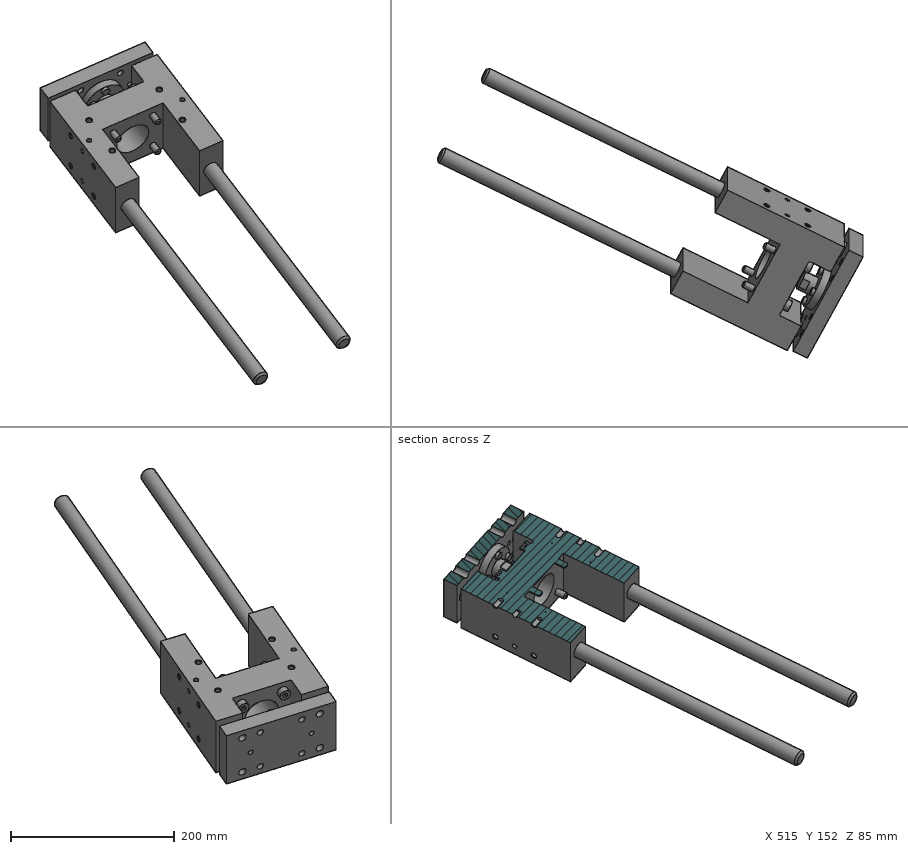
import cadquery as cq
import math

total_length = 515.0
housing_width = 152.0
housing_height = 85.0

plate_thickness = 19.5
plate_width = 148.5
plate_height = 80.0

housing_front = 27.0
housing_back = 188.0
web_front = 56.5
web_back = 98.5
front_gap_width = 79.5
rear_gap_width = 85.5
front_gap_fillet = 2.0
web_bore_dia = 45.5

rod_dia = 20.0
rod_spacing = 117.0
rod_chamfer = 2.5

screw_spacing = 56.0
mount_hole_dia = 8.0
mount_hole_depth = 13.0
bore_dia = 6.5
drill_tip_slope = math.radians(31)
dowel_dia = 6.0
dowel_depth = 10.0

mount_front_x = 77.0
mount_back_x = 134.0
dowel_x = (mount_front_x + mount_back_x) / 2
top_mount_spacing = 99.5
top_dowel_spacing = 132.0

web_screw_dia = 9.0
web_head_dia = 14.5
web_head_length = 8.0
web_socket_width = 5.5
web_socket_depth = 4.0
web_screw_end = 113.0
web_screw_chamfer = 1.5

plate_outer_dia = 10.0
plate_inner_dia = 8.0
plate_outer_spacing = 104.5
plate_dowel_spacing = 82.5

flange_dia = 55.0
flange_thickness = 10.0
stud_dia = 24.0
stud_end = 47.5
flat_start = 38.0
flat_width = 21.0
flange_screw_radius = 22.0
flange_head_dia = 10.0
flange_head_length = 4.0


def box_between(x_start, x_end, width, height):
    """Block centred on Y and Z, spanning the given X range."""
    return cq.Workplane("XY").box(x_end - x_start, width, height).translate(((x_start + x_end) / 2, 0, 0))


def cylinders_x(x_start, x_end, dia, centers):
    """Cylinders along X at the given (y, z) centres."""
    plane = cq.Workplane("YZ", origin=(x_start, 0, 0))
    return plane.pushPoints(centers).circle(dia / 2).extrude(x_end - x_start)


def pair(spacing):
    """Two (y, z) centres on the Y axis."""
    return [(-spacing / 2, 0), (spacing / 2, 0)]


def grid(y_spacing, z_spacing):
    """Four (y, z) centres at the corners of a rectangle."""
    return [(y, z) for y in (-y_spacing / 2, y_spacing / 2) for z in (-z_spacing / 2, z_spacing / 2)]


rod_centers = pair(rod_spacing)
web_screw_centers = grid(screw_spacing, screw_spacing)


def mount_hole():
    """Tool for one hole running down from the origin: 45 degree countersink, bore and drill-tip cone."""
    profile = [
        (0, 0),
        (mount_hole_dia / 2, 0),
        (bore_dia / 2, -(mount_hole_dia - bore_dia) / 2),
        (bore_dia / 2, -mount_hole_depth),
        (0, -mount_hole_depth - bore_dia / 2 * math.tan(drill_tip_slope)),
    ]
    return cq.Workplane("XZ").polyline(profile).close().revolve(360, (0, 0, 0), (0, 1, 0)).val()


def dowel_hole():
    """Tool for one flat-bottomed dowel hole running down from the origin."""
    return cq.Workplane("XY").circle(dowel_dia / 2).extrude(-dowel_depth).val()


def cut_in_top(body, hole, centers):
    """Cut a hole into the top at the given (x, y) centres."""
    for x, y in centers:
        body = body.cut(cq.Workplane(hole.translate(cq.Vector(x, y, housing_height / 2))))
    return body


def cut_in_sides(body, hole, centers):
    """Cut a hole into both the -Y and +Y sides at the given (x, z) centres."""
    side_tool = hole.rotate(cq.Vector(0, 0, 0), cq.Vector(1, 0, 0), 90)
    for x, z in centers:
        tool = cq.Workplane(side_tool.translate(cq.Vector(x, -housing_width / 2, z)))
        body = body.cut(tool).cut(tool.mirror("XZ"))
    return body


def make_housing():
    """H-shaped guide block with its web screws."""
    body = box_between(housing_front, housing_back, housing_width, housing_height)
    front_gap = box_between(housing_front, web_front, front_gap_width, housing_height)
    body = body.cut(front_gap.edges("|Z and >X").fillet(front_gap_fillet))
    body = body.cut(box_between(web_back, housing_back, rear_gap_width, housing_height))
    body = body.cut(cylinders_x(web_front, web_back, web_bore_dia, [(0, 0)]))
    body = body.cut(cylinders_x(housing_front, housing_back, rod_dia, rod_centers))

    mount_xs = (mount_front_x, mount_back_x)
    top_mounts = [(x, side * top_mount_spacing / 2) for x in mount_xs for side in (-1, 1)]
    top_dowels = [(dowel_x, side * top_dowel_spacing / 2) for side in (-1, 1)]
    body = cut_in_top(body, mount_hole(), top_mounts)
    body = cut_in_top(body, dowel_hole(), top_dowels)

    side_mounts = [(x, side * screw_spacing / 2) for x in mount_xs for side in (-1, 1)]
    side_dowels = [(dowel_x, side * screw_spacing / 2) for side in (-1, 1)]
    body = cut_in_sides(body, mount_hole(), side_mounts)
    body = cut_in_sides(body, dowel_hole(), side_dowels)

    heads = cylinders_x(web_front - web_head_length, web_front, web_head_dia, web_screw_centers)
    socket_plane = cq.Workplane("YZ", origin=(web_front - web_head_length, 0, 0))
    socket_corners = web_socket_width / math.cos(math.radians(30))
    sockets = socket_plane.pushPoints(web_screw_centers).polygon(6, socket_corners).extrude(web_socket_depth)
    heads = heads.cut(sockets)
    shanks = cylinders_x(web_back, web_screw_end, web_screw_dia, web_screw_centers)
    shanks = shanks.faces(">X").chamfer(web_screw_chamfer)
    return body.union(heads).union(shanks)


def make_slide():
    """Front plate with its guide rods and rod-end coupling."""
    body = box_between(0, plate_thickness, plate_width, plate_height)
    outer_centers = grid(plate_outer_spacing, screw_spacing)
    body = body.cut(cylinders_x(0, plate_thickness, plate_outer_dia, outer_centers))
    body = body.cut(cylinders_x(0, plate_thickness, plate_inner_dia, web_screw_centers))
    body = body.cut(cylinders_x(0, plate_thickness, dowel_dia, pair(plate_dowel_spacing)))

    rods = cylinders_x(plate_thickness, total_length, rod_dia, rod_centers)
    rods = rods.faces(">X").chamfer(rod_chamfer)

    flange_back = plate_thickness + flange_thickness
    flange = cylinders_x(plate_thickness, flange_back, flange_dia, [(0, 0)])
    stud = cylinders_x(flange_back, stud_end, stud_dia, [(0, 0)])
    collar = cylinders_x(flange_back, flat_start, stud_dia, [(0, 0)])
    stud = stud.intersect(collar.union(box_between(flat_start, stud_end, stud_dia, flat_width)))
    r = flange_screw_radius
    head_centers = [(r, 0), (-r, 0), (0, r), (0, -r)]
    heads = cylinders_x(flange_back, flange_back + flange_head_length, flange_head_dia, head_centers)
    return body.union(rods).union(flange).union(stud).union(heads)


housing = make_housing()
slide = make_slide()
result = cq.Compound.makeCompound([housing.val(), slide.val()])